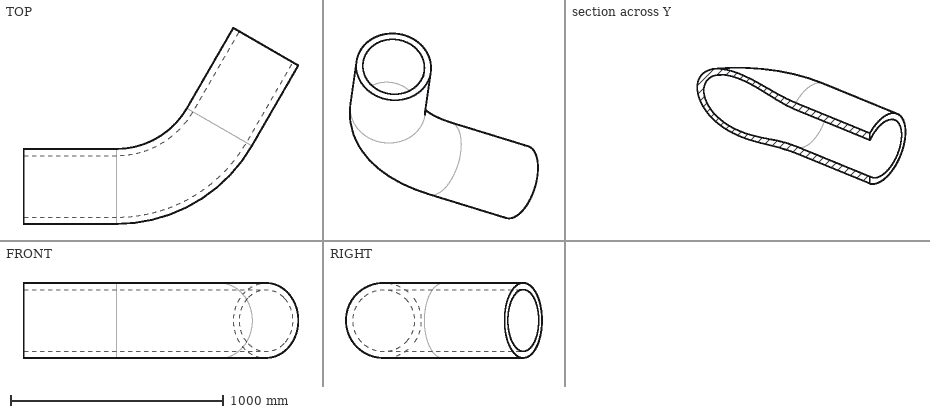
import cadquery as cq
import math

overall_length = 1294.0
outer_diameter = 355.0
inner_diameter = 291.0
bend_angle = 60.0
bend_radius = 560.0

bend_sin = math.sin(math.radians(bend_angle))
bend_cos = math.cos(math.radians(bend_angle))
end_face_reach = outer_diameter / 2 * bend_sin
leg_length = (overall_length - bend_radius * bend_sin - end_face_reach) / (1 + bend_cos)


def centreline_point(angle):
    """Point on the bend centreline after turning by angle degrees."""
    turn = math.radians(angle)
    return (
        leg_length + bend_radius * math.sin(turn),
        bend_radius * (1 - math.cos(turn)),
    )


bend_start = centreline_point(0)
bend_middle = centreline_point(bend_angle / 2)
bend_end = centreline_point(bend_angle)
far_end = (
    bend_end[0] + leg_length * bend_cos,
    bend_end[1] + leg_length * bend_sin,
)
centreline = (
    cq.Workplane("XY")
    .lineTo(*bend_start)
    .threePointArc(bend_middle, bend_end)
    .lineTo(*far_end)
)

result = (
    cq.Workplane("YZ")
    .circle(outer_diameter / 2)
    .circle(inner_diameter / 2)
    .sweep(centreline)
)